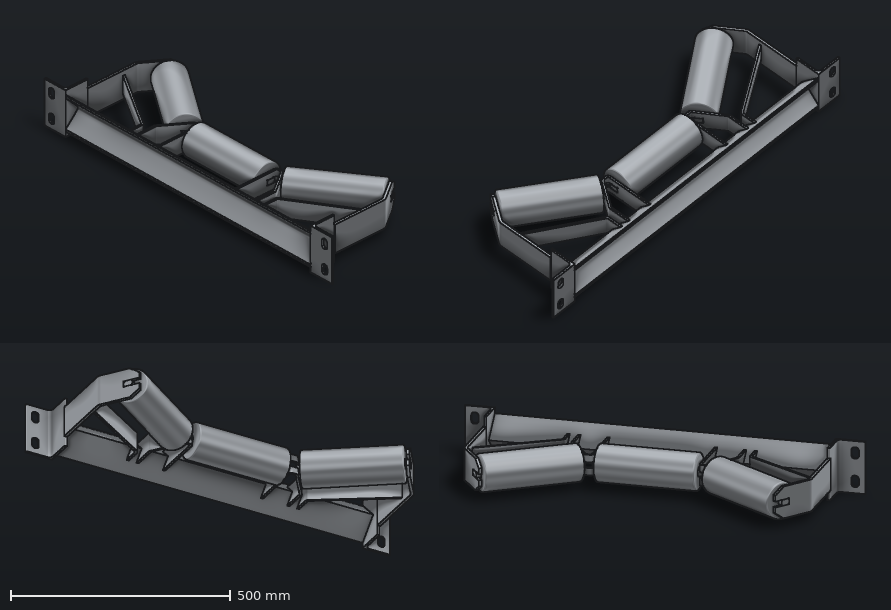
import cadquery as cq
import math

overall_length = 950.0

foot_leg = 70.0
foot_thickness = 6.0
foot_height = 125.0
foot_root_radius = 9.5
foot_toe_radius = 2.0
slot_width = 18.0
slot_height = 28.0
slot_edge_distance = 24.0
slot_spacing = 68.0

beam_depth = 51.0
beam_leg = 70.0
beam_thickness = 7.0
beam_root_radius = 9.0

roller_length = 238.0
roller_diameter = 89.0
roller_edge_radius = 4.0
shaft_diameter = 23.0
shaft_flat_width = 14.0
tilt = math.radians(35)
middle_roller_y = 137.0
side_roller_x = 261.0
side_roller_y = 216.0
bracket_gap = 6.0
arm_gap = 5.0

arm_thickness = 8.0
arm_width = 77.0
arm_tip_rise = 29.0
arm_tip_chamfer_along = 25.0
arm_tip_chamfer_across = 17.0
arm_bend_radius = 12.0
strap_thickness = 6.0
strap_width = 49.0
strap_bend_radius = 4.0
bridge_top_y = 161.0
bracket_outer_x = 199.5
brace_inner_x = 219.0
brace_bend_y = 70.0
brace_arm_y = 187.0

foot_inner_x = overall_length / 2 - foot_leg
bracket_reach = roller_length / 2 + bracket_gap
arm_reach = roller_length / 2 + arm_gap
shaft_radius = shaft_diameter / 2
strap_end_y = beam_depth - strap_width / 2


def on_left_roller(along, across):
    """Point given along and across the axis of the left roller, from its centre."""
    return (
        -side_roller_x + along * math.cos(tilt) + across * math.sin(tilt),
        side_roller_y - along * math.sin(tilt) + across * math.cos(tilt),
    )


def across_at_x(along, x):
    """Distance across the left roller axis at which the line of given `along` reaches x."""
    return (x - on_left_roller(along, 0)[0]) / math.sin(tilt)


def across_at_y(along, y):
    """Distance across the left roller axis at which the line of given `along` reaches y."""
    return (y - on_left_roller(along, 0)[1]) / math.cos(tilt)


def place_on_left_roller(body):
    """Move a body built along X at the origin onto the left roller axis."""
    tilted = body.rotate((0, 0, 0), (0, 0, 1), -math.degrees(tilt))
    return tilted.translate((-side_roller_x, side_roller_y, 0))


def mirrored(body):
    return body.mirror("YZ")


def offset_path(path, distance):
    """Path moved sideways to its left by `distance`, with mitred corners."""
    headings = [
        math.atan2(end[1] - start[1], end[0] - start[0])
        for start, end in zip(path, path[1:])
    ]
    moved = []
    for i, (x, y) in enumerate(path):
        before = headings[max(i - 1, 0)]
        after = headings[min(i, len(headings) - 1)]
        half_turn = (after - before) / 2
        normal = before + half_turn + math.pi / 2
        reach = distance / math.cos(half_turn)
        moved.append((x + reach * math.cos(normal), y + reach * math.sin(normal)))
    return moved


def bent_strap(path, thickness, width, bend_radius):
    """Flat strap with one face on `path`; a negative thickness lies right of the path."""
    other_face = offset_path(path, thickness)
    strap = (
        cq.Workplane("XY")
        .polyline(path + other_face[::-1])
        .close()
        .extrude(width / 2, both=True)
    )
    for near, far, start, corner, end in zip(
        path[1:], other_face[1:], path, path[1:], path[2:]
    ):
        turn = (corner[0] - start[0]) * (end[1] - corner[1])
        turn -= (corner[1] - start[1]) * (end[0] - corner[0])
        near_is_inside = turn * thickness < 0
        inside, outside = (near, far) if near_is_inside else (far, near)
        for (x, y), radius in (
            (inside, bend_radius),
            (outside, bend_radius + abs(thickness)),
        ):
            strap = strap.edges(cq.NearestToPointSelector((x, y, 0))).fillet(radius)
    return strap


def shaft_slot(length_past_axis):
    """Cutter along X for a slot open to +Y that takes the flats of a shaft."""
    cutter_length = 4 * arm_thickness
    return (
        cq.Workplane("XY")
        .box(cutter_length, shaft_radius + length_past_axis, shaft_flat_width)
        .translate((0, (length_past_axis - shaft_radius) / 2, 0))
    )


def make_beam():
    """Equal-leg angle with square toes, their inner corners trimmed flat on y = 0."""
    inner_depth = beam_depth - beam_thickness * math.sqrt(2)
    toe_z = beam_leg / math.sqrt(2)
    toe_y = beam_depth - toe_z
    upper_toe = [(toe_y, toe_z), (0, toe_z - toe_y), (0, inner_depth)]
    lower_toe = [(y, -z) for y, z in reversed(upper_toe)]
    section = [(beam_depth, 0), *upper_toe, (inner_depth, 0), *lower_toe]
    beam = cq.Workplane("YZ").polyline(section).close().extrude(foot_inner_x, both=True)
    root = cq.NearestToPointSelector((0, inner_depth, 0))
    return beam.edges(root).fillet(beam_root_radius)


def make_beam_envelope():
    """Beam with its V filled in, used to notch the straps."""
    section = [(0, -beam_depth), (beam_depth, 0), (0, beam_depth)]
    return cq.Workplane("YZ").polyline(section).close().extrude(foot_inner_x, both=True)


def make_left_arm():
    bend = on_left_roller(-arm_reach, across_at_x(-arm_reach, -foot_inner_x))
    tip = on_left_roller(-arm_reach, arm_tip_rise)
    path = [(-foot_inner_x, foot_leg), bend, tip]
    arm = bent_strap(path, arm_thickness, arm_width, arm_bend_radius)

    half_width = arm_width / 2
    for side in (1, -1):
        corner = [
            (arm_tip_rise, side * half_width),
            (arm_tip_rise - arm_tip_chamfer_along, side * half_width),
            (arm_tip_rise, side * (half_width - arm_tip_chamfer_across)),
        ]
        cutter = (
            cq.Workplane("YZ")
            .polyline(corner)
            .close()
            .extrude(2 * arm_thickness, both=True)
            .translate((-arm_reach, 0, 0))
        )
        arm = arm.cut(place_on_left_roller(cutter))
    slot = shaft_slot(2 * arm_tip_rise).translate((-arm_reach, 0, 0))
    return arm.cut(place_on_left_roller(slot))


def make_left_bracket():
    sloped_bend = on_left_roller(
        bracket_reach, across_at_x(bracket_reach, -bracket_outer_x)
    )
    bridge_start = on_left_roller(
        bracket_reach, across_at_y(bracket_reach, bridge_top_y)
    )
    path = [
        (-bracket_outer_x, strap_end_y),
        sloped_bend,
        bridge_start,
        (-bracket_reach, bridge_top_y),
        (-bracket_reach, strap_end_y),
    ]
    bracket = bent_strap(path, -strap_thickness, strap_width, strap_bend_radius)
    slot_length = roller_diameter / 2
    middle_slot = shaft_slot(slot_length).translate((-bracket_reach, middle_roller_y, 0))
    side_slot = shaft_slot(slot_length).translate((bracket_reach, 0, 0))
    return bracket.cut(middle_slot).cut(place_on_left_roller(side_slot))


def make_left_brace():
    path = [
        (-brace_inner_x, strap_end_y),
        (-brace_inner_x, brace_bend_y),
        (-foot_inner_x, brace_arm_y),
    ]
    return bent_strap(path, strap_thickness, strap_width, strap_bend_radius)


def make_frame():
    frame = make_beam()
    envelope = make_beam_envelope()
    bracket = make_left_bracket().cut(envelope)
    brace = make_left_brace().cut(envelope)
    for part in (bracket, make_left_arm(), brace):
        frame = frame.union(part).union(mirrored(part))
    return frame


def make_left_foot():
    outer_x = -overall_length / 2
    leg_outer_x = -foot_inner_x - foot_thickness
    section = [
        (outer_x, 0),
        (-foot_inner_x, 0),
        (-foot_inner_x, foot_leg),
        (leg_outer_x, foot_leg),
        (leg_outer_x, foot_thickness),
        (outer_x, foot_thickness),
    ]
    foot = cq.Workplane("XY").polyline(section).close().extrude(foot_height / 2, both=True)
    root = cq.NearestToPointSelector((leg_outer_x, foot_thickness, 0))
    foot = foot.edges(root).fillet(foot_root_radius)
    for toe in ((leg_outer_x, foot_leg, 0), (outer_x, foot_thickness, 0)):
        foot = foot.edges(cq.NearestToPointSelector(toe)).fillet(foot_toe_radius)
    slots = (
        cq.Workplane("XZ")
        .center(outer_x + slot_edge_distance, 0)
        .rarray(9.5, slot_spacing, 1, 2)
        .slot2D(slot_height, slot_width, 90)
        .extrude(foot_thickness, both=True)
    )
    return foot.cut(slots)


def make_roller():
    left_end = cq.Workplane("YZ").workplane(offset=-roller_length / 2)
    roller = left_end.circle(roller_diameter / 2).extrude(roller_length)
    roller = roller.faces("<X or >X").edges().fillet(roller_edge_radius)
    return roller.cut(left_end.circle(shaft_radius).extrude(roller_length))


def make_shaft(left_face, left_thickness, right_thickness):
    """Shaft round between two support faces, with two flats inside the supports."""
    right_face = bracket_reach
    left_end = left_face - left_thickness
    right_end = right_face + right_thickness
    shaft = (
        cq.Workplane("YZ")
        .workplane(offset=left_end)
        .circle(shaft_radius)
        .extrude(right_end - left_end)
    )
    flat_depth = shaft_radius - shaft_flat_width / 2
    flat_z = (shaft_radius + shaft_flat_width / 2) / 2
    for face, end in ((left_face, left_end), (right_face, right_end)):
        for side in (1, -1):
            relief = cq.Workplane("XY").box(abs(end - face), shaft_diameter, flat_depth)
            shaft = shaft.cut(relief.translate(((face + end) / 2, 0, side * flat_z)))
    return shaft


frame = make_frame()

left_foot = make_left_foot()
feet = [left_foot, mirrored(left_foot)]

middle_place = (0, middle_roller_y, 0)
left_roller = place_on_left_roller(make_roller())
rollers = [make_roller().translate(middle_place), left_roller, mirrored(left_roller)]

left_shaft = place_on_left_roller(make_shaft(-arm_reach, arm_thickness, strap_thickness))
middle_shaft = make_shaft(-bracket_reach, strap_thickness, strap_thickness)
middle_shaft = middle_shaft.translate(middle_place)
shafts = [middle_shaft, left_shaft, mirrored(left_shaft)]

result = cq.Compound.makeCompound(
    [body.solids().val() for body in [frame, *feet, *rollers, *shafts]]
)